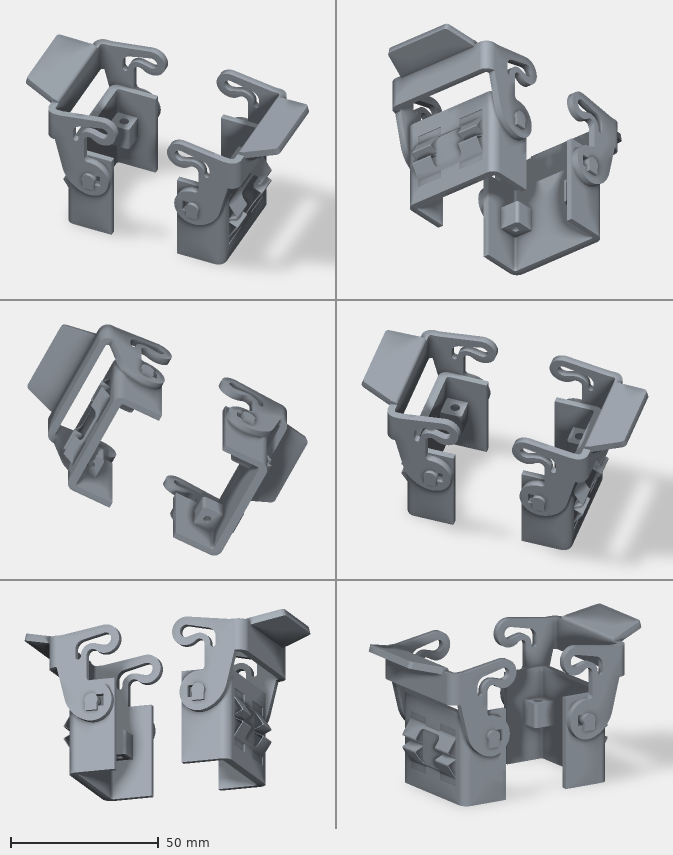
import cadquery as cq
import math


lever_sheet = 2.5
lever_outer_x = 35.7
lever_half_width = 21.8
lever_inner_x = lever_outer_x - lever_sheet
lever_inner_y = lever_half_width - lever_sheet
lever_bend_outer_radius = 3.5
lever_bend_inner_radius = lever_bend_outer_radius - lever_sheet
lever_bend_x = lever_outer_x - lever_bend_outer_radius
strap_bottom_z = 37.0
strap_top_z = 48.0

pivot_x = 19.25
pivot_z = 24.0
disc_radius = 7.0
heel_radius = 11.3
back_edge_angle = 14.0
stem_x = 21.2
stem_fillet = 1.4
throat_radius = stem_x - pivot_x
throat_z = 40.15
hook_x = 14.55
hook_z = 45.3
hook_radius = 5.0
top_flat_end_x = 30.3

slot_eye_radius = 2.15
slot_neck_radius = 4.05
slot_width = 2.0
slot_bottom_z = 39.9
slot_top_angle = 12.8
slot_shoulder_radius = 3.5

paddle_tip_x = 47.15
paddle_top_z = 52.48
paddle_angle = 15.0
paddle_half_width = 16.05
paddle_side_taper = 15.0
paddle_corner_radius = 1.5
knuckle_radius = 1.2

pin_radius = 2.35
pin_end_y = 23.0
pin_tab_width = 4.1
pin_tab_bottom_z = 20.4
window_end_x = 15.2

bracket_outer_x = 29.2
bracket_end_x = 12.1
bracket_height = 32.0
bracket_half_width = lever_inner_y
bracket_back_wall = 2.95
bracket_side_wall = 2.1
bracket_outer_radius = 3.05
bracket_inner_radius = 0.9
bracket_inner_x = bracket_outer_x - bracket_back_wall
bracket_inner_y = bracket_half_width - bracket_side_wall

post_end_x = 18.7
post_inner_y = 9.8
post_top_z = 21.8
post_height = 8.4
post_corner_radius = 1.1
post_hole_x = 22.15
post_hole_y = 13.55
post_hole_diameter = 2.6
post_hole_mouth_diameter = 3.2
post_hole_mouth_depth = post_height / 2

spring_mid_z = bracket_height / 2
spring_sheet = 0.3
spring_reach = 3.1
spring_half_width = 14.1
spring_root_offset = 7.5
spring_crest_offset = 2.45
spring_crest_flat = 0.5
spring_valley_offset = 0.4
spring_opening_size = 12.2
spring_opening_radius = 1.9
seat_depth = 0.3
seat_half_height = 10.1
seat_inner_y = 4.05

badge_x = 19.8
badge_z = 10.0
badge_length = 5.4
badge_height = 3.2
badge_thickness = 0.1


def box_between(x0, x1, y0, y1, z0, z1):
    return (
        cq.Workplane("XY")
        .box(x1 - x0, y1 - y0, z1 - z0, centered=False)
        .translate((x0, y0, z0))
    )


def on_circle(center_x, center_z, radius, degrees):
    angle = math.radians(degrees)
    return (center_x + radius * math.cos(angle), center_z + radius * math.sin(angle))


def extrude_both_cheeks(outline, y_start, y_end):
    """Extrude an XZ outline outwards from y_start to y_end on the +Y and -Y sides."""
    plus_side = outline.extrude(-(y_end - y_start)).translate((0, y_start, 0))
    return plus_side.union(plus_side.mirror("XZ"))


def u_channel(outer_x, half_width, end_x, wall_x, wall_y, outer_radius, inner_radius, z0, z1):
    """U-shaped channel, closed on the outer X side and open towards X = 0."""
    inner_x = outer_x - wall_x
    inner_y = half_width - wall_y
    outside = box_between(0, outer_x, -half_width, half_width, z0, z1)
    outside = outside.edges("|Z and >X").fillet(outer_radius)
    inside = box_between(0, inner_x, -inner_y, inner_y, z0, z1)
    inside = inside.edges("|Z and >X").fillet(inner_radius)
    beyond_ends = box_between(0, end_x, -half_width, half_width, z0, z1)
    return outside.cut(inside).cut(beyond_ends)


def cheek_outline():
    heel_start_angle = back_edge_angle - 90
    heel_x, heel_z = on_circle(pivot_x, pivot_z, disc_radius - heel_radius, heel_start_angle)
    heel_start = on_circle(heel_x, heel_z, heel_radius, heel_start_angle)
    heel_middle = on_circle(heel_x, heel_z, heel_radius, -45)
    heel_end = on_circle(heel_x, heel_z, heel_radius, -back_edge_angle)
    back_rise = strap_bottom_z - heel_end[1]
    back_top_x = heel_end[0] + back_rise * math.tan(math.radians(back_edge_angle))

    flat_dx = top_flat_end_x - hook_x
    flat_dz = strap_top_z - hook_z
    flat_distance = math.hypot(flat_dx, flat_dz)
    hook_start = math.degrees(math.atan2(flat_dz, flat_dx) + math.acos(hook_radius / flat_distance))

    hook_end = math.degrees(math.atan2(throat_z - hook_z, pivot_x - hook_x))
    hook_middle = (hook_start + hook_end + 360) / 2
    throat_middle = (hook_end + 180) / 2

    disc_top_z = pivot_z + disc_radius
    corner_x = stem_x - stem_fillet
    corner_z = disc_top_z + stem_fillet
    return (
        cq.Workplane("XZ")
        .moveTo(lever_bend_x, strap_top_z)
        .lineTo(top_flat_end_x, strap_top_z)
        .lineTo(*on_circle(hook_x, hook_z, hook_radius, hook_start))
        .threePointArc(
            on_circle(hook_x, hook_z, hook_radius, hook_middle),
            on_circle(hook_x, hook_z, hook_radius, hook_end),
        )
        .threePointArc(
            on_circle(pivot_x, throat_z, throat_radius, throat_middle),
            (stem_x, throat_z),
        )
        .lineTo(stem_x, corner_z)
        .threePointArc(
            on_circle(corner_x, corner_z, stem_fillet, -45),
            (corner_x, disc_top_z),
        )
        .lineTo(pivot_x, disc_top_z)
        .threePointArc((pivot_x - disc_radius, pivot_z), heel_start)
        .threePointArc(heel_middle, heel_end)
        .lineTo(back_top_x, strap_bottom_z)
        .lineTo(lever_bend_x, strap_bottom_z)
        .close()
    )


def slot_outline():
    outer_side_x = stem_x + slot_neck_radius - throat_radius + slot_width
    inner_side_x = outer_side_x - slot_width
    end_x = (outer_side_x + inner_side_x) / 2

    eye_top = on_circle(hook_x, hook_z, slot_eye_radius, 90 - slot_top_angle)
    drop = math.tan(math.radians(slot_top_angle))
    shoulder_x = outer_side_x - slot_shoulder_radius
    upper_side_at_shoulder = eye_top[1] - (shoulder_x - eye_top[0]) * drop
    shoulder_z = upper_side_at_shoulder - slot_shoulder_radius / math.cos(math.radians(slot_top_angle))
    shoulder_start_angle = 90 - slot_top_angle

    neck_dx = pivot_x - hook_x
    neck_dz = throat_z - hook_z
    neck_distance = math.hypot(neck_dx, neck_dz)
    neck_direction = math.degrees(math.atan2(neck_dz, neck_dx))
    spread = math.degrees(math.acos((slot_eye_radius + slot_neck_radius) / neck_distance))
    neck_start_angle = neck_direction + 180 - spread
    eye_end_angle = neck_direction - spread
    eye_middle_angle = (90 - slot_top_angle + eye_end_angle + 360) / 2
    return (
        cq.Workplane("XZ")
        .moveTo(*eye_top)
        .lineTo(*on_circle(shoulder_x, shoulder_z, slot_shoulder_radius, shoulder_start_angle))
        .threePointArc(
            on_circle(shoulder_x, shoulder_z, slot_shoulder_radius, shoulder_start_angle / 2),
            (outer_side_x, shoulder_z),
        )
        .lineTo(outer_side_x, slot_bottom_z)
        .threePointArc((end_x, slot_bottom_z - slot_width / 2), (inner_side_x, slot_bottom_z))
        .lineTo(inner_side_x, throat_z)
        .threePointArc(
            on_circle(pivot_x, throat_z, slot_neck_radius, neck_start_angle / 2),
            on_circle(pivot_x, throat_z, slot_neck_radius, neck_start_angle),
        )
        .lineTo(*on_circle(hook_x, hook_z, slot_eye_radius, eye_end_angle))
        .threePointArc(on_circle(hook_x, hook_z, slot_eye_radius, eye_middle_angle), eye_top)
        .close()
    )


def make_paddle():
    tilt = math.radians(paddle_angle)
    tip_top_x = paddle_tip_x - lever_sheet * math.sin(tilt)
    tip_bottom_z = paddle_top_z - lever_sheet * math.cos(tilt)
    root_bottom_z = tip_bottom_z - (paddle_tip_x - lever_outer_x) * math.tan(tilt)
    knuckle_z = paddle_top_z - (tip_top_x - lever_inner_x) * math.tan(tilt)
    section = (
        cq.Workplane("XZ")
        .polyline([
            (lever_inner_x, root_bottom_z),
            (lever_outer_x, root_bottom_z),
            (paddle_tip_x, tip_bottom_z),
            (tip_top_x, paddle_top_z),
            (lever_inner_x, knuckle_z),
        ])
        .close()
        .extrude(paddle_half_width, both=True)
        .faces("<X").edges(">Z")
        .fillet(knuckle_radius)
    )
    plate_length = (paddle_tip_x - lever_outer_x) / math.cos(tilt)
    tip_half_width = paddle_half_width - plate_length * math.tan(math.radians(paddle_side_taper))
    plan = (
        cq.Workplane("XY")
        .polyline([
            (0, -paddle_half_width),
            (plate_length, -tip_half_width),
            (plate_length, tip_half_width),
            (0, paddle_half_width),
        ])
        .close()
        .extrude(lever_sheet)
        .edges("|Z and >X")
        .fillet(paddle_corner_radius)
        .rotate((0, 0, 0), (0, 1, 0), -paddle_angle)
        .translate((lever_outer_x, 0, root_bottom_z))
    )
    knuckle_block = box_between(
        lever_inner_x, lever_outer_x, -paddle_half_width, paddle_half_width,
        root_bottom_z, paddle_top_z,
    )
    knuckle = section.intersect(knuckle_block)
    return knuckle.union(plan)


def make_lever():
    strap = u_channel(
        lever_outer_x, lever_half_width, lever_bend_x, lever_sheet, lever_sheet,
        lever_bend_outer_radius, lever_bend_inner_radius, strap_bottom_z, strap_top_z,
    )
    cheeks = extrude_both_cheeks(cheek_outline(), lever_inner_y, lever_half_width)
    slots = extrude_both_cheeks(slot_outline(), lever_inner_y, lever_half_width)
    window_outline = (
        cq.Workplane("XZ")
        .center((window_end_x + pivot_x) / 2, pivot_z)
        .rect(pivot_x - window_end_x, pin_tab_width)
    )
    windows = extrude_both_cheeks(window_outline, lever_inner_y, lever_half_width)
    return cheeks.cut(slots).cut(windows).union(strap).union(make_paddle())


def make_pins():
    round_outline = cq.Workplane("XZ").center(pivot_x, pivot_z).circle(pin_radius)
    rounds = extrude_both_cheeks(round_outline, lever_inner_y, pin_end_y)
    tab_length = pivot_z - pin_tab_bottom_z
    tab_outline = (
        cq.Workplane("XZ")
        .center(pivot_x, pivot_z - tab_length / 2)
        .rect(pin_tab_width, tab_length)
    )
    tabs = extrude_both_cheeks(tab_outline, lever_half_width, pin_end_y)
    return rounds.union(tabs)


def make_post():
    """Screw post on the +Y side, reaching into both bracket walls."""
    post = (
        box_between(
            post_end_x, bracket_inner_x + bracket_back_wall / 2,
            post_inner_y, bracket_inner_y + bracket_side_wall / 2,
            post_top_z - post_height, post_top_z,
        )
        .edges("|Z and <X and <Y")
        .fillet(post_corner_radius)
    )
    hole = (
        cq.Workplane("XY", origin=(post_hole_x, post_hole_y, post_top_z))
        .circle(post_hole_diameter / 2)
        .extrude(-post_height)
    )
    mouth = (
        cq.Workplane("XY", origin=(post_hole_x, post_hole_y, post_top_z))
        .circle(post_hole_mouth_diameter / 2)
        .extrude(-post_hole_mouth_depth)
    )
    return post.cut(hole).cut(mouth)


def spring_opening(start_x):
    """Rounded square column along X, from start_x out past the spring crests."""
    return (
        cq.Workplane("YZ", origin=(start_x, 0, spring_mid_z))
        .rect(spring_opening_size, spring_opening_size)
        .extrude(bracket_outer_x + spring_reach - start_x)
        .edges("|X")
        .fillet(spring_opening_radius)
    )


def make_bracket():
    bracket = u_channel(
        bracket_outer_x, bracket_half_width, bracket_end_x, bracket_back_wall, bracket_side_wall,
        bracket_outer_radius, bracket_inner_radius, 0, bracket_height,
    )
    post = make_post()
    seat = box_between(
        bracket_outer_x - seat_depth, bracket_outer_x, seat_inner_y, spring_half_width,
        spring_mid_z - seat_half_height, spring_mid_z + seat_half_height,
    )
    seat = seat.cut(spring_opening(bracket_outer_x - seat_depth))
    bracket = bracket.union(post).union(post.mirror("XZ"))
    return bracket.cut(seat).cut(seat.mirror("XZ"))


def spring_wave(root_x):
    """Points of the two-crested spring section, from its upper root to its lower root."""
    crest_x = root_x + seat_depth + spring_reach
    upper_half = [
        (root_x, spring_mid_z + spring_root_offset),
        (crest_x, spring_mid_z + spring_crest_offset),
        (crest_x, spring_mid_z + spring_crest_offset - spring_crest_flat),
        (root_x, spring_mid_z + spring_valley_offset),
    ]
    lower_half = [(x, 2 * spring_mid_z - z) for x, z in reversed(upper_half)]
    return upper_half + lower_half


def make_spring():
    outer_wave = spring_wave(bracket_outer_x - seat_depth)
    inner_wave = spring_wave(bracket_outer_x - seat_depth - spring_sheet)
    spring = (
        cq.Workplane("XZ")
        .polyline(outer_wave + inner_wave[::-1])
        .close()
        .extrude(spring_half_width, both=True)
    )
    return spring.cut(spring_opening(bracket_outer_x))


def make_latch():
    return make_bracket().union(make_spring()).union(make_pins()).union(make_lever()).clean()


def make_badge():
    """Thin diamond plate let flush into the -Y side wall of the +X latch."""
    return (
        cq.Workplane("XZ", origin=(badge_x, -bracket_half_width, badge_z))
        .polyline([
            (-badge_length / 2, 0),
            (0, badge_height / 2),
            (badge_length / 2, 0),
            (0, -badge_height / 2),
        ])
        .close()
        .extrude(-badge_thickness)
    )


latch = make_latch()
badge = make_badge()
left_latch = latch.mirror("YZ")
right_latch = latch.cut(badge)

result = cq.Compound.makeCompound([
    right_latch.solids().val(),
    left_latch.solids().val(),
    badge.solids().val(),
])